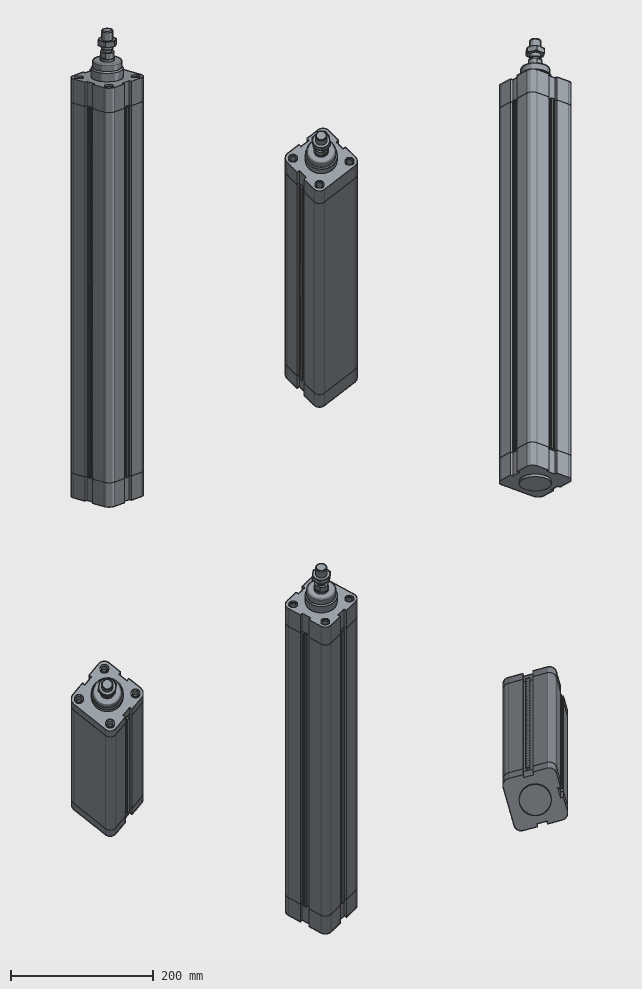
import cadquery as cq
import math

total_height = 694.0
rod_overhang = 69.5
rear_pilot_height = 4.0
cap_length = 36.0

head_face = total_height - rod_overhang
barrel_top = head_face - cap_length
barrel_bottom = rear_pilot_height + cap_length
barrel_length = barrel_top - barrel_bottom

side = 78.0
corner_radius = 10.5
slot_width = 14.5
slot_depth = 4.0
rib_width = 6.0
rib_head_thickness = 1.5
rib_stem_width = 3.0

pilot_diameter = 45.0
boss_base_height = 14.5
boss_diameter = 41.0
boss_height = 25.0
boss_fillet = 1.75

hole_spacing = 56.0
counterbore_diameter = 12.5
counterbore_depth = 3.0
hole_diameter = 8.0
hole_depth = 21.0
drill_point_angle = 118.0

rod_diameter = 20.0
wrench_diameter = 19.5
wrench_length = 9.0
thread_diameter = 16.0
neck_diameter = 12.5
thread_length = 28.0
neck_length = 4.0
thread_chamfer_width = 1.05
thread_chamfer_height = 1.75
flat_width = 17.5
flat_length = 7.5

nut_sides = 6
nut_across_corners = 28.0
nut_chamfer_angle = 30.0
nut_thickness = 8.0
nut_tip_gap = 14.0

slot_angles = (0, 90, -90)


def slot_strip(width, depth, length):
    """Full-length strip against the inside of the -Y face."""
    return cq.Workplane("XY").box(width, depth, length, centered=(True, False, False))


def on_slotted_sides(strip):
    """Copies of a -Y side shape on every slotted side."""
    copies = cq.Workplane("XY")
    for angle in slot_angles:
        copies = copies.add(strip.rotate((0, 0, 0), (0, 0, 1), angle))
    return copies.combine()


def slotted_block(length):
    """Square block with rounded corners, slotted on three sides."""
    block = cq.Workplane("XY").rect(side, side).extrude(length).edges("|Z").fillet(corner_radius)
    slot = slot_strip(slot_width, slot_depth, length).translate((0, -side / 2, 0))
    return block.cut(on_slotted_sides(slot))


def make_barrel():
    head = slot_strip(rib_width, rib_head_thickness, barrel_length)
    stem = slot_strip(rib_stem_width, slot_depth, barrel_length)
    rib = head.union(stem).translate((0, -side / 2, 0))
    barrel = slotted_block(barrel_length).union(on_slotted_sides(rib))
    return barrel.translate((0, 0, barrel_bottom))


def make_fastening_holes():
    """Counterbored blind holes with a conical drill point, opening at Z = cap_length."""
    point_depth = hole_diameter / 2 / math.tan(math.radians(drill_point_angle / 2))
    bottom = cap_length - hole_depth
    shoulder = cap_length - counterbore_depth
    profile = [
        (0, bottom - point_depth),
        (hole_diameter / 2, bottom),
        (hole_diameter / 2, shoulder),
        (counterbore_diameter / 2, shoulder),
        (counterbore_diameter / 2, cap_length),
        (0, cap_length),
    ]
    hole = cq.Workplane("XZ").polyline(profile).close().revolve(360, (0, 0), (0, 1)).val()
    places = cq.Workplane("XY").rect(hole_spacing, hole_spacing, forConstruction=True).vertices()
    return places.eachpoint(lambda place: hole.moved(place), combine="a")


def make_head_cap():
    cone_height = (pilot_diameter - boss_diameter) / 2
    base = cq.Workplane("XY").circle(pilot_diameter / 2).extrude(boss_base_height)
    base = base.faces(">Z").chamfer(cone_height)
    boss = cq.Workplane("XY").circle(boss_diameter / 2).extrude(boss_height)
    boss = boss.faces(">Z").fillet(boss_fillet)
    guide = base.union(boss).translate((0, 0, cap_length))
    rod_hole = cq.Workplane("XY").circle(rod_diameter / 2).extrude(cap_length + boss_height)
    cap = slotted_block(cap_length).union(guide).cut(make_fastening_holes()).cut(rod_hole)
    return cap.translate((0, 0, barrel_top))


def make_rear_cap():
    pilot = cq.Workplane("XY").circle(pilot_diameter / 2).extrude(rear_pilot_height)
    return slotted_block(cap_length).translate((0, 0, rear_pilot_height)).union(pilot)


def make_rod():
    neck_top = total_height - thread_length
    shoulder = neck_top - neck_length
    wrench_bottom = shoulder - wrench_length
    rod = cq.Workplane("XY").workplane(offset=barrel_top).circle(rod_diameter / 2)
    rod = rod.extrude(wrench_bottom - barrel_top)
    wrench_end = cq.Workplane("XY").workplane(offset=wrench_bottom).circle(wrench_diameter / 2)
    wrench_end = wrench_end.extrude(wrench_length)
    for flat_side in (1, -1):
        flat = cq.Workplane("XY").box(rod_diameter, rod_diameter, flat_length)
        flat_y = flat_side * (flat_width + rod_diameter) / 2
        wrench_end = wrench_end.cut(flat.translate((0, flat_y, shoulder - flat_length / 2)))
    neck = cq.Workplane("XY").workplane(offset=shoulder).circle(neck_diameter / 2).extrude(neck_length)
    thread = cq.Workplane("XY").workplane(offset=neck_top).circle(thread_diameter / 2)
    thread = thread.extrude(thread_length).faces(">Z").chamfer(thread_chamfer_height, thread_chamfer_width)
    return rod.union(wrench_end).union(neck).union(thread)


def make_nut():
    nut_bottom = total_height - nut_tip_gap - nut_thickness
    across_flats = nut_across_corners * math.cos(math.pi / nut_sides)
    chamfer_width = (nut_across_corners - across_flats) / 2
    chamfer_height = chamfer_width * math.tan(math.radians(nut_chamfer_angle))
    envelope = cq.Workplane("XY").circle(nut_across_corners / 2).extrude(nut_thickness)
    envelope = envelope.faces("<Z or >Z").chamfer(chamfer_height, chamfer_width)
    nut = cq.Workplane("XY").polygon(nut_sides, nut_across_corners).circle(thread_diameter / 2)
    nut = nut.extrude(nut_thickness).intersect(envelope)
    return nut.translate((0, 0, nut_bottom))


barrel = make_barrel()
head_cap = make_head_cap()
rear_cap = make_rear_cap()
rod = make_rod()
nut = make_nut()

result = cq.Compound.makeCompound([barrel.val(), head_cap.val(), rear_cap.val(), rod.val(), nut.val()])